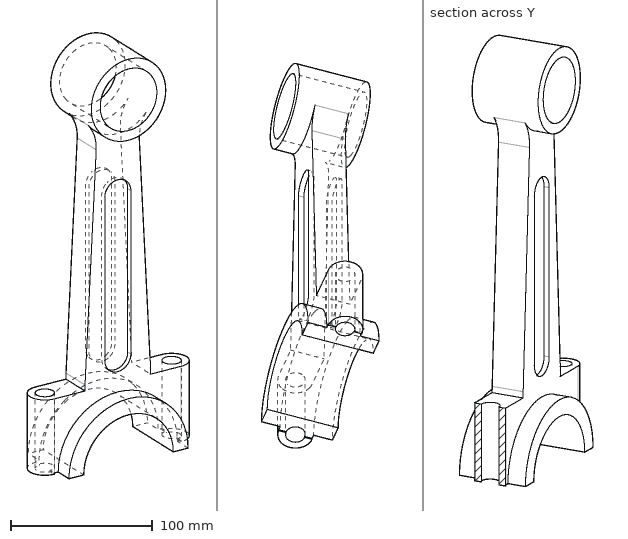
import cadquery as cq

total_height = 312.7
bearing_width = 53.0
web_thickness = 25.0

eye_radius = 31.3
eye_bore_radius = 23.8
eye_z = total_height - eye_radius

shell_radius = 50.0
shell_bore_radius = 37.5
shell_base_z = 1.0
lug_span = 131.3
lug_height = 58.0
lug_end_radius = web_thickness / 2
bolt_y = lug_span / 2 - lug_end_radius
bolt_hole_diameter = 13.8

shank_foot_half_width = 27.5
shank_neck_half_width = 18.0
shank_foot_height = 4.7
shank_taper_z = lug_height + shank_foot_height
shank_neck_z = 241.7
neck_fillet_radius = 30.0

recess_width = 22.0
recess_bottom_z = 66.5
recess_top_z = 214.5
recess_depth = 4.0


def cylinder_along_x(radius, length, z):
    """Cylinder along X, centred on the YZ plane, at height z."""
    return cq.Workplane("YZ", origin=(-length / 2, 0, z)).circle(radius).extrude(length)


def make_shank():
    """Tapered web with neck fillets, hollowed at the top to seat the eye."""
    taper = (shank_foot_half_width - shank_neck_half_width) / (shank_neck_z - shank_taper_z)
    top_half_width = shank_neck_half_width - taper * (eye_z - shank_neck_z)
    right_side = [
        (shank_foot_half_width, shell_base_z),
        (shank_foot_half_width, shank_taper_z),
        (top_half_width, eye_z),
    ]
    left_side = [(-y, z) for y, z in reversed(right_side)]
    web = (
        cq.Workplane("YZ", origin=(-web_thickness / 2, 0, 0))
        .polyline(right_side + left_side)
        .close()
        .extrude(web_thickness)
    )
    blank = web.union(cylinder_along_x(eye_radius, web_thickness, eye_z))
    seam_zone = cq.selectors.BoxSelector(
        (-web_thickness, -eye_radius, shank_neck_z),
        (web_thickness, eye_radius, eye_z - eye_radius / 2),
    )
    blended = blank.edges("|X").edges(seam_zone).fillet(neck_fillet_radius)
    return blended.cut(cylinder_along_x(eye_radius, bearing_width, eye_z))


def make_lugs():
    """Round-ended bolt block, with its underside raised between the bolt axes."""
    block = cq.Workplane("XY").slot2D(lug_span, web_thickness, 90).extrude(lug_height)
    relief = cq.Workplane("XY").rect(web_thickness, 2 * bolt_y).extrude(shell_base_z)
    return block.cut(relief)


def make_shell():
    """Upper half of the big-end bearing, still solid."""
    cylinder = cylinder_along_x(shell_radius, bearing_width, shell_base_z)
    upper_half = (
        cq.Workplane("XY", origin=(0, 0, shell_base_z))
        .rect(bearing_width, 2 * shell_radius)
        .extrude(shell_radius)
    )
    return cylinder.intersect(upper_half)


def make_recess(side):
    """Round-ended pocket cutter for the shank face on the given X side."""
    middle_z = (recess_bottom_z + recess_top_z) / 2
    floor_x = side * (web_thickness / 2 - recess_depth)
    return (
        cq.Workplane("YZ", origin=(floor_x, 0, middle_z))
        .slot2D(recess_top_z - recess_bottom_z, recess_width, 90)
        .extrude(side * recess_depth)
    )


result = make_shank().union(make_lugs()).union(make_shell())
result = result.union(cylinder_along_x(eye_radius, bearing_width, eye_z))

result = result.cut(cylinder_along_x(eye_bore_radius, bearing_width, eye_z))
result = result.cut(cylinder_along_x(shell_bore_radius, bearing_width, shell_base_z))

bolt_holes = (
    cq.Workplane("XY")
    .pushPoints([(0, -bolt_y), (0, bolt_y)])
    .circle(bolt_hole_diameter / 2)
    .extrude(lug_height)
)
result = result.cut(bolt_holes)

for side in (-1, 1):
    result = result.cut(make_recess(side))